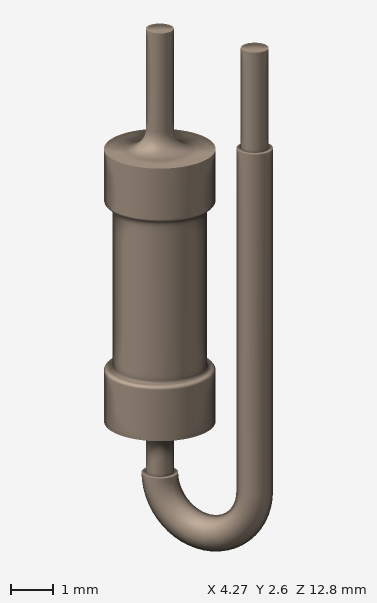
import cadquery as cq

total_height = 12.77
lead_spacing = 2.54

cap_diameter = 2.6
barrel_diameter = 2.2
cap_length = 1.35
cap_bottom = 2.96
cap_top = 9.77
step_fillet = 0.08

lead_diameter = 0.65
sleeve_diameter = 0.85
flare_radius = 0.5
bare_end_length = 2.5

cap_radius = cap_diameter / 2
barrel_radius = barrel_diameter / 2
lead_radius = lead_diameter / 2
sleeve_radius = sleeve_diameter / 2
bend_radius = lead_spacing / 2
bend_height = bend_radius + sleeve_radius
sleeve_top = total_height - bare_end_length
body_middle = (cap_bottom + cap_top) / 2


def cylinder(radius, bottom, top):
    """Upright cylinder on the Z axis."""
    return cq.Workplane("XY").workplane(offset=bottom).circle(radius).extrude(top - bottom)


def capped_barrel():
    """Barrel with a wider cap at each end and rounded steps between them."""
    body = cylinder(barrel_radius, cap_bottom, cap_top)
    lower_step = cap_bottom + cap_length
    upper_step = cap_top - cap_length
    body = body.union(cylinder(cap_radius, cap_bottom, lower_step))
    body = body.union(cylinder(cap_radius, upper_step, cap_top))
    for step_height in (lower_step, upper_step):
        step_edges = cq.selectors.BoxSelector(
            (-cap_diameter, -cap_diameter, step_height - step_fillet),
            (cap_diameter, cap_diameter, step_height + step_fillet),
            boundingbox=True,
        )
        body = body.edges(step_edges).fillet(step_fillet)
    return body


def upper_flare():
    """Concave ring that blends the upper lead into the cap's end face."""
    flare_outer = lead_radius + flare_radius
    flare_top = cap_top + flare_radius
    return (
        cq.Workplane("XZ")
        .moveTo(0, cap_top)
        .lineTo(flare_outer, cap_top)
        .radiusArc((lead_radius, flare_top), flare_radius)
        .lineTo(0, flare_top)
        .close()
        .revolve(360, (0, 0, 0), (0, 1, 0))
    )


def swept_wire(radius, start_height, end_height):
    """Round bar down the Z axis, around the half-circle bend and up the return leg."""
    path = cq.Workplane("XZ").moveTo(0, start_height)
    if start_height > bend_height:
        path = path.lineTo(0, bend_height)
    path = path.threePointArc(
        (bend_radius, bend_height - bend_radius), (lead_spacing, bend_height)
    ).lineTo(lead_spacing, end_height)
    return cq.Workplane("XY").workplane(offset=start_height).circle(radius).sweep(path)


def make_component():
    """Capped barrel in one piece with its straight upper lead and bent lower lead."""
    flare = upper_flare()
    lower_flare = flare.mirror("XY", (0, 0, body_middle))
    return (
        capped_barrel()
        .union(flare)
        .union(lower_flare)
        .union(cylinder(lead_radius, cap_top, total_height))
        .union(swept_wire(lead_radius, cap_bottom, total_height))
    )


def make_sleeve():
    """Insulating tube over the bend and most of the return leg."""
    tube = swept_wire(sleeve_radius, bend_height, sleeve_top)
    return tube.cut(swept_wire(lead_radius, bend_height, sleeve_top))


component = make_component()
sleeve = make_sleeve()

result = cq.Compound.makeCompound([component.solids().val(), sleeve.solids().val()])